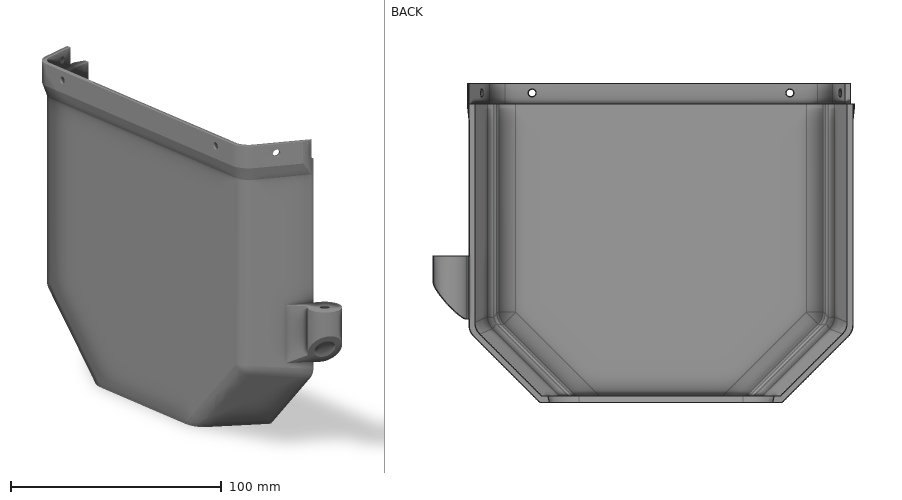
import cadquery as cq
import math

height = 151.5
depth = 35.5
draft = 20.0
back_strip = 1.2

rim_half_width = 81.2
rim_wall = 2.4
rim_corner_radius = 10.0
rim_bottom = 140.5
rim_bevel_height = 6.5
rim_clip_half_width = 91.7
rim_clip_depth = 30.0
rim_end_right = 34.5
rim_end_left = 24.2
ledge_height = 141.7

bottom_half_width = 41.0
front_wall = 3.0
side_wall = 3.0
thick_side_wall = 5.4
floor_thickness = 3.0
step_front = 15.0
step_back = 16.8
step_front_fillet = 2.8
step_back_fillet = 6.2
pocket_edge_radius = 8.4

opening_half_width = 53.0
opening_front = 21.0
opening_corner_radius = 14.0
opening_taper = 13.0

rim_hole_diameter = 3.5
rim_hole_drop = 4.5
front_hole_x = 61.2
side_hole_depth = 16.8

boss_x = 100.0
boss_y = 35.8
boss_diameter = 16.4
boss_bottom = 39.5
boss_top = 69.5
boss_hole_diameter = 4.8
boss_counterbore_diameter = 10.0
boss_seat_thickness = 10.0
boss_cut_heading = -22.0
boss_cut_slope = 1.1
boss_web_run = 9.0
web_back_y = 38.5

margin = 20.0
tiny = 0.02
draft_ratio = math.tan(math.radians(draft))
draft_cos = math.cos(math.radians(draft))
tray_front = rim_wall
pocket_front = tray_front + front_wall
tray_half_width = rim_half_width + rim_wall * draft_ratio - rim_wall / draft_cos
tray_edge_radius = rim_corner_radius - rim_wall
draft_end = depth - back_strip
tray_back_half_width = tray_half_width + (draft_end - tray_front) * draft_ratio


def spread_at(y, wall):
    """Outward shift of the side faces at depth y, for a face lying one wall inside the outer skin."""
    return (y - tray_front) * draft_ratio - wall / draft_cos


def tray_outline(spread, y):
    """Upright sides running into 45-degree slopes, cut off level below the floor; at depth y."""
    half_width = tray_half_width + spread
    foot = bottom_half_width + spread * math.sqrt(2) - margin
    shoulder = half_width - foot - margin
    points = [(foot, -margin), (half_width, shoulder), (half_width, height + margin)]
    mirrored = [(-x, z) for x, z in reversed(points)]
    return cq.Workplane("XZ", origin=(0, y, 0)).polyline(points + mirrored).close()


def tray_frustum(y_front, y_back, wall_front, wall_back):
    """Block between two depths, its sides lying the given walls inside the outer skin at either end."""
    front = tray_outline(spread_at(y_front, wall_front), y_front).wires().val()
    back = tray_outline(spread_at(y_back, wall_back), y_back).wires().val()
    return cq.Workplane(cq.Solid.makeLoft([front, back], True))


def cross_edges(block, y):
    """Edges around the block at one depth, except the level top and bottom ones."""
    def is_wanted(edge):
        box = edge.BoundingBox()
        return abs(box.ymin - y) < tiny and abs(box.ymax - y) < tiny and box.zlen > tiny
    return block.edges().filter(is_wanted)


def lengthwise_corners(block):
    """The corner edges between the upright sides and the 45-degree slopes."""
    def is_corner(edge):
        return edge.BoundingBox().ylen > tiny and 0 < edge.Center().z < height
    return block.edges().filter(is_corner)


def make_tray_skin():
    skin = tray_frustum(tray_front, draft_end, 0, 0)
    edges = lengthwise_corners(skin).add(cross_edges(skin, tray_front))
    skin = skin.newObject(edges.vals()).fillet(tray_edge_radius)
    skin = skin.faces(">Y").wires().toPending().workplane().extrude(back_strip)
    envelope = cq.Workplane().box(4 * rim_half_width, 4 * depth, rim_bottom, centered=(True, True, False))
    return skin.intersect(envelope)


def wall_prism(base):
    """Room on the inner side of one straight wall whose outer skin meets the tray front at X = base."""
    reach = 3 * height
    back = depth + margin
    wall_points = [
        (base + spread_at(pocket_front, thick_side_wall), pocket_front),
        (base + spread_at(step_front, thick_side_wall), step_front),
        (base + spread_at(step_back, side_wall), step_back),
        (base + spread_at(back, side_wall), back),
    ]
    plan = cq.Workplane(origin=(0, 0, -reach)).polyline([(-reach, pocket_front)] + wall_points + [(-reach, back)])
    prism = plan.close().extrude(2 * reach)
    for y, radius in ((step_front, step_front_fillet), (step_back, step_back_fillet)):
        prism = prism.newObject(cross_edges(prism, y).vals()).fillet(radius)
    return prism


def make_pocket():
    """Inside of the tray: the room left between its side walls, its slopes and its floor."""
    side = wall_prism(tray_half_width)
    slope = wall_prism(bottom_half_width / math.sqrt(2)).rotate((0, 0, 0), (0, 1, 0), 45)
    right_half = side.intersect(slope)
    pocket = right_half.intersect(right_half.mirror("YZ"))
    above_floor = cq.Workplane().box(4 * rim_half_width, 8 * depth, 2 * height, centered=(True, True, False))
    pocket = pocket.intersect(above_floor.translate((0, 0, -margin)))
    edges = lengthwise_corners(pocket).add(cross_edges(pocket, pocket_front))
    pocket = pocket.newObject(edges.vals()).fillet(pocket_edge_radius)
    return pocket.intersect(above_floor.translate((0, 0, floor_thickness)))


def rim_outline(inset, z):
    """Plan outline of the rim: front face, rounded corners, leaning sides; open side past the back."""
    front_x = rim_half_width + inset * draft_ratio - inset / draft_cos
    back_y = depth + margin
    back_x = front_x + (back_y - inset) * draft_ratio
    radius = rim_corner_radius - inset
    turn = math.radians(90 - draft)
    start_x = front_x - radius * math.tan(turn / 2)
    center_y = inset + radius
    mid = (start_x + radius * math.sin(turn / 2), center_y - radius * math.cos(turn / 2))
    end = (start_x + radius * math.sin(turn), center_y - radius * math.cos(turn))
    return (
        cq.Workplane(origin=(0, 0, z))
        .moveTo(-start_x, inset)
        .lineTo(start_x, inset)
        .threePointArc(mid, end)
        .lineTo(back_x, back_y)
        .lineTo(-back_x, back_y)
        .lineTo(-end[0], end[1])
        .threePointArc((-mid[0], mid[1]), (-start_x, inset))
        .close()
    )


def make_rim():
    upright = rim_outline(0, rim_bottom).extrude(height - rim_bottom)
    bevel_top = rim_outline(0, rim_bottom).wires().val()
    bevel_bottom = rim_outline(rim_wall, rim_bottom - rim_bevel_height).wires().val()
    bevel = cq.Workplane(cq.Solid.makeLoft([bevel_bottom, bevel_top], True))
    half_trim = [
        (rim_clip_half_width, -margin),
        (rim_clip_half_width, rim_clip_depth),
        (tray_back_half_width, draft_end),
        (tray_back_half_width, depth),
    ]
    trim = cq.Workplane().polyline(half_trim + [(-x, y) for x, y in reversed(half_trim)]).close()
    return upright.union(bevel).intersect(trim.extrude(height))


def cut_rim_inside(body):
    """Clear the space above the ledge and end the rim at its own depth on each side."""
    body = body.cut(rim_outline(rim_wall, ledge_height).extrude(margin))
    for side, rim_end in ((1, rim_end_right), (-1, rim_end_left)):
        ear = cq.Workplane().box(2 * rim_half_width, margin, margin, centered=(True, False, False))
        body = body.cut(ear.translate((side * rim_half_width, rim_end, ledge_height)))
    return body


def cut_floor_opening(body):
    length = 2 * depth
    outline = cq.Sketch().rect(2 * opening_half_width, length).vertices().fillet(opening_corner_radius)
    opening = cq.Workplane().placeSketch(outline).extrude(floor_thickness, taper=-opening_taper)
    return body.cut(opening.translate((0, opening_front + length / 2, 0)))


def cut_rim_holes(body):
    hole_z = height - rim_hole_drop
    length = 4 * rim_wall
    radius = rim_hole_diameter / 2
    side_x = rim_half_width + side_hole_depth * draft_ratio
    for side in (-1, 1):
        front_start = cq.Vector(side * front_hole_x, -length / 2, hole_z)
        body = body.cut(cq.Workplane(cq.Solid.makeCylinder(radius, length, front_start, cq.Vector(0, 1, 0))))
        inward = cq.Vector(-side * draft_cos, draft_cos * draft_ratio, 0)
        side_start = cq.Vector(side * side_x, side_hole_depth, hole_z) - inward * (length / 2)
        body = body.cut(cq.Workplane(cq.Solid.makeCylinder(radius, length, side_start, inward)))
    return body


def make_boss(pocket):
    """Round boss joined to the side wall by a web, with a sloped underside."""
    boss_height = boss_top - boss_bottom
    radius = boss_diameter / 2
    boss = cq.Workplane(origin=(boss_x, boss_y, boss_bottom)).circle(radius).extrude(boss_height)

    web_front_x = boss_x - radius * math.sin(math.radians(45))
    web_front_y = boss_y - radius * math.sin(math.radians(45))
    foot_x = web_front_x - boss_web_run
    foot_y = web_front_y - boss_web_run
    web_back_x = boss_x - math.sqrt(radius**2 - (web_back_y - boss_y) ** 2)
    web = (
        cq.Workplane(origin=(0, 0, boss_bottom))
        .moveTo(foot_x, foot_y)
        .lineTo(web_front_x, web_front_y)
        .lineTo(boss_x, boss_y)
        .lineTo(web_back_x, web_back_y)
        .lineTo(tray_back_half_width, depth)
        .lineTo(tray_back_half_width - side_wall, depth)
        .close()
        .extrude(boss_height)
    )
    boss = boss.union(web).cut(pocket)

    heading = math.radians(boss_cut_heading)
    normal = (boss_cut_slope * math.cos(heading), boss_cut_slope * math.sin(heading), -1)
    underside = cq.Plane(origin=(foot_x, foot_y, boss_bottom), normal=normal)
    boss = boss.cut(cq.Workplane(underside).rect(8 * boss_diameter, 8 * boss_diameter).extrude(4 * boss_diameter))
    return boss


def cut_boss_hole(body):
    axis_foot = cq.Workplane(origin=(boss_x, boss_y, boss_bottom))
    through = axis_foot.circle(boss_hole_diameter / 2).extrude(boss_top - boss_bottom)
    counterbore_height = boss_top - boss_seat_thickness - boss_bottom
    counterbore = axis_foot.circle(boss_counterbore_diameter / 2).extrude(counterbore_height)
    return body.cut(through).cut(counterbore)


pocket = make_pocket()
shell = make_tray_skin().union(make_rim()).cut(pocket)
shell = cut_rim_inside(shell)
shell = cut_floor_opening(shell)
shell = cut_rim_holes(shell)
result = cut_boss_hole(shell.union(make_boss(pocket)))